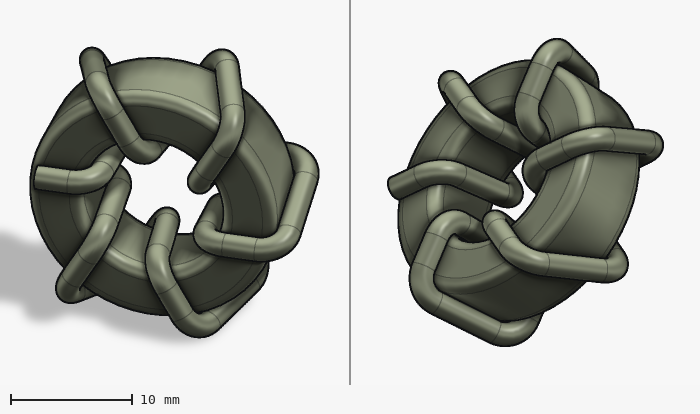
import cadquery as cq
import math

CORE_OUTER_RADIUS = 10.55
CORE_INNER_RADIUS = 5.99
CORE_WIDTH = 7.15
CORE_ROUNDING = 1.0

WIRE_RADIUS = 1.0
BEND_RADIUS = 2.18
SLOT_COUNT = 6
LEAD_SLOT = SLOT_COUNT // 2

LEG_DEPTH = CORE_WIDTH / 2 + WIRE_RADIUS
OUTER_REACH = CORE_OUTER_RADIUS + WIRE_RADIUS
LEG_OFFSET = 1.97
INNER_REACH = 4.57
LEAD_REACH = 9.42


def make_core():
    blank = (
        cq.Workplane("XZ", origin=(0, CORE_WIDTH / 2, 0))
        .circle(CORE_OUTER_RADIUS)
        .circle(CORE_INNER_RADIUS)
        .extrude(CORE_WIDTH)
    )
    return blank.edges().fillet(CORE_ROUNDING).val()


def leg_point(slot, reach, side):
    """Point on a leg: side -1 is the -Y face of the core, side +1 is the +Y face."""
    angle = 2 * math.pi * slot / SLOT_COUNT
    x = reach * math.cos(angle) - side * LEG_OFFSET * math.sin(angle)
    z = reach * math.sin(angle) + side * LEG_OFFSET * math.cos(angle)
    return cq.Vector(x, side * LEG_DEPTH, z)


def winding_corners():
    """Corners of the winding, from the lead on the +Y face to the lead on the -Y face."""
    corners = [
        leg_point(LEAD_SLOT, LEAD_REACH, 1),
        leg_point(LEAD_SLOT, INNER_REACH, 1),
    ]
    for turn in range(1, SLOT_COUNT):
        slot = LEAD_SLOT + turn
        corners.append(leg_point(slot, INNER_REACH, -1))
        corners.append(leg_point(slot, OUTER_REACH, -1))
        corners.append(leg_point(slot, OUTER_REACH, 1))
        corners.append(leg_point(slot, INNER_REACH, 1))
    corners.append(leg_point(LEAD_SLOT, INNER_REACH, -1))
    corners.append(leg_point(LEAD_SLOT, LEAD_REACH, -1))
    return corners


def bend_points(before, corner, after):
    """Start, middle and end of the arc that rounds one corner of the winding."""
    back = (before - corner).normalized()
    ahead = (after - corner).normalized()
    half_angle = back.getAngle(ahead) / 2
    trim = BEND_RADIUS / math.tan(half_angle)
    bisector = (back + ahead).normalized()
    middle = corner + bisector * (BEND_RADIUS / math.sin(half_angle) - BEND_RADIUS)
    return corner + back * trim, middle, corner + ahead * trim


def make_winding():
    corners = winding_corners()
    edges = []
    start = corners[0]
    for before, corner, after in zip(corners, corners[1:], corners[2:]):
        bend_start, bend_middle, bend_end = bend_points(before, corner, after)
        edges.append(cq.Edge.makeLine(start, bend_start))
        edges.append(cq.Edge.makeThreePointArc(bend_start, bend_middle, bend_end))
        start = bend_end
    edges.append(cq.Edge.makeLine(start, corners[-1]))
    path = cq.Wire.assembleEdges(edges)
    end_plane = cq.Plane(origin=corners[0], xDir=(0, 0, 1), normal=corners[1] - corners[0])
    return cq.Workplane(end_plane).circle(WIRE_RADIUS).sweep(path).val()


core = make_core()
winding = make_winding()

result = cq.Compound.makeCompound([core, winding])